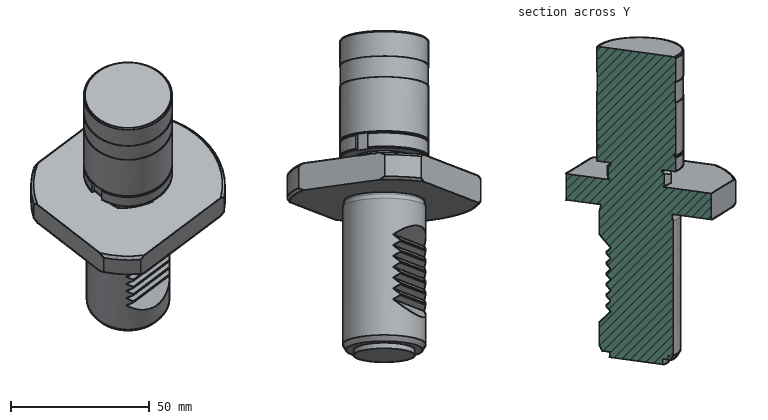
import cadquery as cq
import math


FLANGE_RADIUS = 35.0
FLANGE_THICKNESS = 10.0
FLANGE_CHAMFER = 1.0
FLANGE_LEFT = -30.0
FLANGE_RIGHT = 28.0
FLANGE_FRONT = -30.0

SHANK_DIAMETER = 30.0
SHANK_LENGTH = 55.0
SHANK_TIP_CHAMFER_HEIGHT = 2.0
SHANK_TIP_CHAMFER_ANGLE = 30.0
NECK_DIAMETER = 29.1
NECK_LENGTH = 0.6
NECK_CONE_ANGLE = 15.0
SPIGOT_DIAMETER = 22.0
SPIGOT_LENGTH = 2.0

TOOTH_PITCH = 4.0
TOOTH_GAPS = 7
TOOTH_TIP_FLAT = 0.6
RACK_ROOT_X = 10.3
RACK_FIRST_ROOT_Z = -15.7
RACK_CUT_CLEARANCE = 1.0

NUT_ACROSS_FLATS = 22.0
NUT_HEIGHT = 5.5
NUT_CHAMFER_ANGLE = 30.0
COLLAR_DIAMETER = 21.0

RING_DIAMETER = 32.0
RING_BOTTOM_Z = 16.2
RING_BOTTOM_CHAMFER = 0.4
RING_TOP_CHAMFER = 0.75
SLOT_WIDTH = 5.0
SLOT_DEPTH = 1.5

CAP_DIAMETER = 32.0
CAP_BOTTOM_Z = 22.3
CAP_TOP_Z = 59.5
CAP_CHAMFER = 0.5
BAND_DIAMETER = 31.8
BAND_BOTTOM_Z = 42.3
BAND_TOP_Z = 50.0


def cylinder(diameter, bottom_z, top_z):
    """Cylinder about the Z axis between two heights."""
    return cq.Workplane("XY").workplane(offset=bottom_z).circle(diameter / 2).extrude(top_z - bottom_z)


def make_flange():
    disc = cylinder(2 * FLANGE_RADIUS, 0, FLANGE_THICKNESS).edges().chamfer(FLANGE_CHAMFER)
    trim = cq.Workplane("XY").box(
        FLANGE_RIGHT - FLANGE_LEFT,
        FLANGE_RADIUS - FLANGE_FRONT,
        FLANGE_THICKNESS,
        centered=False,
    ).translate((FLANGE_LEFT, FLANGE_FRONT, 0))
    return disc.intersect(trim)


def make_shank():
    shank_radius = SHANK_DIAMETER / 2
    neck_radius = NECK_DIAMETER / 2
    cone_height = (shank_radius - neck_radius) / math.tan(math.radians(NECK_CONE_ANGLE))
    tip_radius = shank_radius - SHANK_TIP_CHAMFER_HEIGHT * math.tan(math.radians(SHANK_TIP_CHAMFER_ANGLE))
    spigot_radius = SPIGOT_DIAMETER / 2
    spigot_bottom_z = -SHANK_LENGTH - SPIGOT_LENGTH
    half_profile = [
        (0, 0),
        (neck_radius, 0),
        (neck_radius, -NECK_LENGTH),
        (shank_radius, -NECK_LENGTH - cone_height),
        (shank_radius, -SHANK_LENGTH + SHANK_TIP_CHAMFER_HEIGHT),
        (tip_radius, -SHANK_LENGTH),
        (spigot_radius, -SHANK_LENGTH),
        (spigot_radius, spigot_bottom_z),
        (0, spigot_bottom_z),
    ]
    return cq.Workplane("XZ").polyline(half_profile).close().revolve(360, (0, 0), (0, 1))


def make_rack_cutter():
    """Prism along Y whose toothed side has 45 degree flanks and narrow tooth tip flats."""
    tip_x = RACK_ROOT_X + (TOOTH_PITCH - TOOTH_TIP_FLAT) / 2
    outer_x = SHANK_DIAMETER / 2 + RACK_CUT_CLEARANCE
    ramp = outer_x - RACK_ROOT_X
    last_root_z = RACK_FIRST_ROOT_Z - (TOOTH_GAPS - 1) * TOOTH_PITCH

    outline = [(outer_x, RACK_FIRST_ROOT_Z + ramp), (RACK_ROOT_X, RACK_FIRST_ROOT_Z)]
    for gap in range(1, TOOTH_GAPS):
        root_z = RACK_FIRST_ROOT_Z - gap * TOOTH_PITCH
        tip_z = root_z + TOOTH_PITCH / 2
        outline.append((tip_x, tip_z + TOOTH_TIP_FLAT / 2))
        outline.append((tip_x, tip_z - TOOTH_TIP_FLAT / 2))
        outline.append((RACK_ROOT_X, root_z))
    outline.append((outer_x, last_root_z - ramp))
    return cq.Workplane("XZ").polyline(outline).close().extrude(SHANK_DIAMETER / 2, both=True)


def make_nut():
    """Hexagon with corners on the X axis, bevelled by cones down to the collar and to the flats."""
    corner_radius = NUT_ACROSS_FLATS / math.sqrt(3)
    flat_radius = NUT_ACROSS_FLATS / 2
    collar_radius = COLLAR_DIAMETER / 2
    bevel_slope = math.tan(math.radians(NUT_CHAMFER_ANGLE))
    nut_top_z = FLANGE_THICKNESS + NUT_HEIGHT
    hexagon = (
        cq.Workplane("XY").workplane(offset=FLANGE_THICKNESS).polygon(6, 2 * corner_radius).extrude(NUT_HEIGHT)
    )
    bevel_profile = [
        (0, FLANGE_THICKNESS),
        (flat_radius, FLANGE_THICKNESS),
        (corner_radius, FLANGE_THICKNESS + (corner_radius - flat_radius) * bevel_slope),
        (corner_radius, nut_top_z - (corner_radius - collar_radius) * bevel_slope),
        (collar_radius, nut_top_z),
        (0, nut_top_z),
    ]
    bevel = cq.Workplane("XZ").polyline(bevel_profile).close().revolve(360, (0, 0), (0, 1))
    return hexagon.intersect(bevel)


def make_collar():
    return cylinder(COLLAR_DIAMETER, FLANGE_THICKNESS + NUT_HEIGHT, RING_BOTTOM_Z)


def make_ring():
    """Chamfered ring with a flat-floored slot on its -Y side."""
    ring = cylinder(RING_DIAMETER, RING_BOTTOM_Z, CAP_BOTTOM_Z)
    ring = ring.faces("<Z").edges().chamfer(RING_BOTTOM_CHAMFER)
    ring = ring.faces(">Z").edges().chamfer(RING_TOP_CHAMFER)
    slot = cq.Workplane("XY").box(
        SLOT_WIDTH, SLOT_DEPTH, CAP_BOTTOM_Z - RING_BOTTOM_Z, centered=(True, False, False)
    )
    return ring.cut(slot.translate((0, -RING_DIAMETER / 2, RING_BOTTOM_Z)))


def make_cap():
    lower = cylinder(CAP_DIAMETER, CAP_BOTTOM_Z, BAND_BOTTOM_Z)
    band = cylinder(BAND_DIAMETER, BAND_BOTTOM_Z, BAND_TOP_Z)
    upper = cylinder(CAP_DIAMETER, BAND_TOP_Z, CAP_TOP_Z).faces(">Z").edges().chamfer(CAP_CHAMFER)
    return lower.union(band).union(upper)


shank = make_shank().cut(make_rack_cutter())
result = make_flange().union(shank)
for stacked_part in (make_nut(), make_collar(), make_ring(), make_cap()):
    result = result.union(stacked_part)